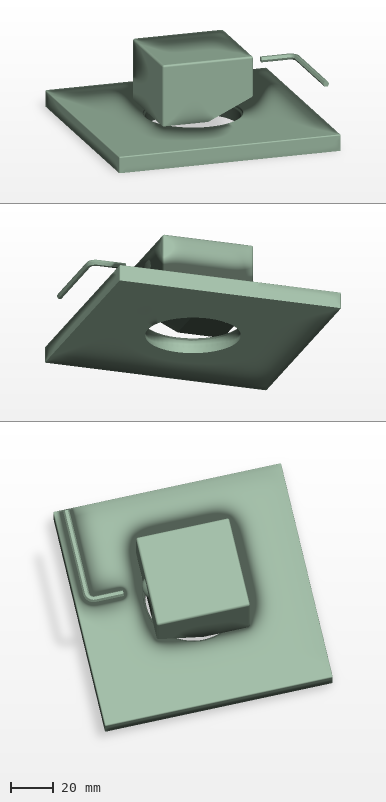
import cadquery as cq
import math

plate_side = 110.0
plate_thickness = 8.0
plate_edge_radius = 0.5
hole_radius = 23.5
hole_rim_radius = 0.4

ring_inner_radius = 22.5
ring_recess = 1.3
ring_edge_radius = 0.5

total_height = 40.0
gap_above_plate = 2.0
handle_side = 45.0
handle_half = handle_side / 2
handle_bottom = plate_thickness + gap_above_plate
handle_edge_radius = 1.0
slope_angle = 25.0
slope_rise = handle_half * math.tan(math.radians(slope_angle))

button_radius = 4.5
button_bulge = 2.0
button_height = 30.7

key_across_flats = 2.5
key_across_corners = key_across_flats / math.cos(math.pi / 6)
key_bend_radius = 3.5
key_tip_y = 33.7
key_long_leg_y = 50.7
key_end_x = 46.0


def make_plate():
    """Square plate with rounded sides and top, and a round-rimmed through hole."""
    blank = cq.Workplane("XY").rect(plate_side, plate_side).extrude(plate_thickness)
    rounded = blank.edges("|Z or >Z").fillet(plate_edge_radius)
    hole = cq.Workplane("XY").circle(hole_radius).extrude(plate_thickness)
    return rounded.cut(hole).faces(">Z").edges("%CIRCLE").fillet(hole_rim_radius)


def make_ring():
    """Ring lining the plate hole, rounded at its upper inner edge."""
    ring = (
        cq.Workplane("XY")
        .circle(hole_radius)
        .circle(ring_inner_radius)
        .extrude(plate_thickness - ring_recess)
    )
    return ring.faces(">Z").edges(cq.selectors.RadiusNthSelector(0)).fillet(ring_edge_radius)


def make_handle():
    """Square block with rounded sides and top, its underside sloping up toward +Y."""
    block = (
        cq.Workplane("XY")
        .workplane(offset=handle_bottom)
        .rect(handle_side, handle_side)
        .extrude(total_height - handle_bottom)
        .edges("|Z or >Z")
        .fillet(handle_edge_radius)
    )
    wedge = (
        cq.Workplane("YZ")
        .moveTo(0, handle_bottom)
        .lineTo(handle_half, handle_bottom)
        .lineTo(handle_half, handle_bottom + slope_rise)
        .close()
        .extrude(handle_half, both=True)
    )
    return block.cut(wedge)


def make_button():
    """Spherical cap seated on the +Y face of the handle."""
    sphere_radius = (button_radius**2 + button_bulge**2) / (2 * button_bulge)
    sphere_y = handle_half + button_bulge - sphere_radius
    sphere = cq.Workplane("XY").sphere(sphere_radius).translate((0, sphere_y, button_height))
    outside = (
        cq.Workplane("XZ", origin=(0, handle_half, button_height))
        .rect(2 * sphere_radius, 2 * sphere_radius)
        .extrude(-sphere_radius)
    )
    return sphere.intersect(outside)


def make_hex_key():
    """L-shaped hexagonal bar with its upper and lower flats horizontal."""
    bend_offset = key_bend_radius * (1 - math.cos(math.pi / 4))
    path = (
        cq.Workplane("XY", origin=(0, 0, button_height))
        .moveTo(0, key_tip_y)
        .lineTo(0, key_long_leg_y - key_bend_radius)
        .threePointArc(
            (bend_offset, key_long_leg_y - bend_offset),
            (key_bend_radius, key_long_leg_y),
        )
        .lineTo(key_end_x, key_long_leg_y)
    )
    section = cq.Workplane("XZ", origin=(0, key_tip_y, button_height)).polygon(6, key_across_corners)
    return section.sweep(path)


plate = make_plate()
ring = make_ring()
handle = make_handle()
button = make_button()
hex_key = make_hex_key()

result = cq.Compound.makeCompound(
    [plate.val(), ring.val(), handle.val(), button.val(), hex_key.val()]
)